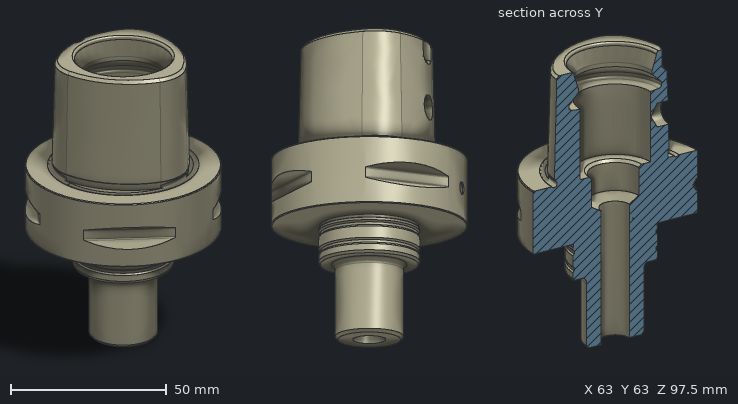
import cadquery as cq
import math

TOTAL_HEIGHT = 97.5
STUB_TOP = 24.8
FLANGE_BOTTOM = 37.4
FLANGE_TOP = 59.5
SHANK_SEAT = 61.7

STUB_RADIUS = 11.0
STUB_CHAMFER = 1.0
STUB_FILLET_WIDTH = 1.1
STUB_FILLET_HEIGHT = 2.0
PILOT_RADIUS = 32.5 / 2
PILOT_CHAMFER_WIDTH = 0.5
PILOT_CHAMFER_HEIGHT = 0.9
NECK_RADIUS = 32.0 / 2
NECK_HEIGHT = 1.0
FLANGE_RADIUS = 63.0 / 2
FLANGE_CHAMFER = 0.3

GROOVE_BOTTOMS = (27.7, 33.5)
GROOVE_HEIGHT = 2.0
GROOVE_DEPTH = 0.5
GROOVE_CHAMFER = 0.6

LOBE_COUNT = 3
TIP_RADIUS = 23.4
FLAT_RADIUS = 20.7
LOBE_OFFSET = 10.2
SHANK_TAPER_INSET = 0.9
SHANK_CHAMFER_WIDTH = 0.9
SHANK_CHAMFER_HEIGHT = 1.1
SEAT_INSET = 0.3
RELIEF_RING_RADIUS = 23.4
RELIEF_SECTION_RADIUS = 1.1
RELIEF_HEIGHT = 0.6

MOUTH_RADIUS = 16.4
MOUTH_ROUND_WIDTH = 0.7
MOUTH_ROUND_DEPTH = 1.2
MOUTH_ROUND_RADIUS = 1.2
THROAT_RADIUS = 28.0 / 2
THROAT_DEPTH = 6.3
THROAT_END_DEPTH = 7.8
CLAMP_GROOVE_TOP_DEPTH = 11.1
CLAMP_GROOVE_FLOOR_DEPTH = 13.2
CLAMP_GROOVE_RADIUS = 17.55
CLAMP_GROOVE_FILLET = 1.0
CLAMP_GROOVE_FLOOR_DROP = 0.4
CAVITY_RADIUS = 13.4
CAVITY_DEPTH = 38.0
THREAD_RADIUS = 17.8 / 2
THREAD_CHAMFER = 1.0
THREAD_DEPTH = 48.75
COOLANT_RADIUS = 10.5 / 2
CONE_DEPTH = 2.1

SLOT_COUNT = 4
SLOT_HEIGHT = 47.5
SLOT_FLOOR_DISTANCE = 27.8
SLOT_FLOOR_WIDTH = 3.4
SLOT_WALL_ANGLE = 30.0
SLOT_FILLET = 0.5

KEYWAY_RADIUS = 10.5 / 2
KEYWAY_FLOOR_X = -18.0
KEYWAY_CONE_TOP = 91.4
KEYWAY_POINT_ANGLE = 90.0
DATA_HOLE_RADIUS = 8.1 / 2
DATA_HOLE_HEIGHT = 75.1
DATA_HOLE_CYLINDER_END = 16.1
MARK_RADIUS = 4.0 / 2
MARK_HEIGHT = SLOT_HEIGHT
MARK_CYLINDER_END = 31.0
HOLE_POINT_ANGLE = 118.0


def revolve(profile):
    """Turn a profile drawn in radius and height about the Z axis."""
    return profile.close().revolve(360, (0, 0, 0), (0, 1, 0))


def turned_body():
    neck_bottom = FLANGE_BOTTOM - NECK_HEIGHT
    fillet_radius = (STUB_FILLET_WIDTH**2 + STUB_FILLET_HEIGHT**2) / (2 * STUB_FILLET_WIDTH)
    profile = (
        cq.Workplane("XZ")
        .lineTo(STUB_RADIUS - STUB_CHAMFER, 0)
        .lineTo(STUB_RADIUS, STUB_CHAMFER)
        .lineTo(STUB_RADIUS, STUB_TOP - STUB_FILLET_HEIGHT)
        .radiusArc((STUB_RADIUS + STUB_FILLET_WIDTH, STUB_TOP), fillet_radius)
        .lineTo(PILOT_RADIUS - PILOT_CHAMFER_WIDTH, STUB_TOP)
        .lineTo(PILOT_RADIUS, STUB_TOP + PILOT_CHAMFER_HEIGHT)
    )
    for bottom in GROOVE_BOTTOMS:
        top = bottom + GROOVE_HEIGHT
        profile = (
            profile.lineTo(PILOT_RADIUS, bottom)
            .lineTo(PILOT_RADIUS - GROOVE_DEPTH, bottom + GROOVE_CHAMFER)
            .lineTo(PILOT_RADIUS - GROOVE_DEPTH, top - GROOVE_CHAMFER)
            .lineTo(PILOT_RADIUS, top)
        )
    profile = (
        profile.lineTo(PILOT_RADIUS, neck_bottom)
        .lineTo(NECK_RADIUS, neck_bottom)
        .lineTo(NECK_RADIUS, FLANGE_BOTTOM)
        .lineTo(FLANGE_RADIUS - FLANGE_CHAMFER, FLANGE_BOTTOM)
        .lineTo(FLANGE_RADIUS, FLANGE_BOTTOM + FLANGE_CHAMFER)
        .lineTo(FLANGE_RADIUS, FLANGE_TOP - FLANGE_CHAMFER)
        .lineTo(FLANGE_RADIUS - FLANGE_CHAMFER, FLANGE_TOP)
        .lineTo(0, FLANGE_TOP)
    )
    return revolve(profile)


def polar(radius, angle):
    return (radius * math.cos(math.radians(angle)), radius * math.sin(math.radians(angle)))


def lobed_outline(height, inset):
    """Three lobe arcs joined by three tangent, flatter arcs, all moved inward by the inset."""
    lobe_radius = TIP_RADIUS - LOBE_OFFSET
    half_pitch = 180 / LOBE_COUNT
    gap = FLAT_RADIUS - lobe_radius
    flat_center = (gap**2 - LOBE_OFFSET**2) / (LOBE_OFFSET - 2 * gap)
    flat_center_x, flat_center_y = polar(flat_center, half_pitch)
    joint_normal = math.atan2(flat_center_y, flat_center_x + LOBE_OFFSET)
    joint_x = LOBE_OFFSET + (lobe_radius - inset) * math.cos(joint_normal)
    joint_y = (lobe_radius - inset) * math.sin(joint_normal)
    joint_distance = math.hypot(joint_x, joint_y)
    joint_angle = math.degrees(math.atan2(joint_y, joint_x))

    outline = cq.Workplane("XY", origin=(0, 0, height)).moveTo(*polar(joint_distance, -joint_angle))
    for lobe in range(LOBE_COUNT):
        tip = lobe * 2 * half_pitch
        outline = outline.threePointArc(
            polar(TIP_RADIUS - inset, tip), polar(joint_distance, tip + joint_angle)
        ).threePointArc(
            polar(FLAT_RADIUS - inset, tip + half_pitch),
            polar(joint_distance, tip + 2 * half_pitch - joint_angle),
        )
    return outline.close().val()


def lobed_frustum(bottom, bottom_inset, top, top_inset):
    """Lobed block between two heights, with straight walls from one inset to the other."""
    wires = [lobed_outline(bottom, bottom_inset), lobed_outline(top, top_inset)]
    return cq.Workplane(cq.Solid.makeLoft(wires, True))


def shank():
    chamfer_bottom = TOTAL_HEIGHT - SHANK_CHAMFER_HEIGHT
    seat = lobed_frustum(FLANGE_TOP - RELIEF_SECTION_RADIUS, SEAT_INSET, SHANK_SEAT, SEAT_INSET)
    taper = lobed_frustum(SHANK_SEAT, 0, chamfer_bottom, SHANK_TAPER_INSET)
    tip = lobed_frustum(
        chamfer_bottom, SHANK_TAPER_INSET, TOTAL_HEIGHT, SHANK_TAPER_INSET + SHANK_CHAMFER_WIDTH
    )
    return seat.union(taper).union(tip)


def relief_ring():
    """Round-section ring that undercuts the lobes and grooves the flange face around them."""
    section = cq.Workplane("XZ").center(RELIEF_RING_RADIUS, FLANGE_TOP + RELIEF_HEIGHT)
    return section.circle(RELIEF_SECTION_RADIUS).revolve(
        360, (-RELIEF_RING_RADIUS, 0, 0), (-RELIEF_RING_RADIUS, 1, 0)
    )


def bore():
    """Rounded mouth, tapered throat, clamping groove, cavity, countersunk hole and coolant hole."""
    groove_floor = TOTAL_HEIGHT - CLAMP_GROOVE_FLOOR_DEPTH
    groove_top = TOTAL_HEIGHT - CLAMP_GROOVE_TOP_DEPTH
    cavity_floor = TOTAL_HEIGHT - CAVITY_DEPTH
    thread_end = TOTAL_HEIGHT - THREAD_DEPTH
    profile = (
        cq.Workplane("XZ")
        .lineTo(COOLANT_RADIUS, 0)
        .lineTo(COOLANT_RADIUS, thread_end - CONE_DEPTH)
        .lineTo(THREAD_RADIUS, thread_end)
        .lineTo(THREAD_RADIUS, cavity_floor - THREAD_CHAMFER)
        .lineTo(THREAD_RADIUS + THREAD_CHAMFER, cavity_floor)
        .lineTo(CAVITY_RADIUS, cavity_floor)
        .lineTo(CAVITY_RADIUS, groove_floor - CLAMP_GROOVE_FLOOR_DROP)
        .lineTo(CLAMP_GROOVE_RADIUS - CLAMP_GROOVE_FILLET, groove_floor)
        .radiusArc((CLAMP_GROOVE_RADIUS, groove_floor + CLAMP_GROOVE_FILLET), -CLAMP_GROOVE_FILLET)
        .lineTo(CLAMP_GROOVE_RADIUS, groove_top)
        .lineTo(THROAT_RADIUS, TOTAL_HEIGHT - THROAT_END_DEPTH)
        .lineTo(THROAT_RADIUS, TOTAL_HEIGHT - THROAT_DEPTH)
        .lineTo(MOUTH_RADIUS - MOUTH_ROUND_WIDTH, TOTAL_HEIGHT - MOUTH_ROUND_DEPTH)
        .radiusArc((MOUTH_RADIUS, TOTAL_HEIGHT), MOUTH_ROUND_RADIUS)
        .lineTo(0, TOTAL_HEIGHT)
    )
    return revolve(profile)


def gripper_slots():
    """Flat-floored V slots across the flange, halfway between the X and Y axes."""
    cut_end = FLANGE_RADIUS + FLANGE_CHAMFER
    half_floor = SLOT_FLOOR_WIDTH / 2
    half_mouth = half_floor + (cut_end - SLOT_FLOOR_DISTANCE) * math.tan(math.radians(SLOT_WALL_ANGLE))
    slot = (
        cq.Workplane("XZ")
        .polyline([
            (SLOT_FLOOR_DISTANCE, SLOT_HEIGHT - half_floor),
            (cut_end, SLOT_HEIGHT - half_mouth),
            (cut_end, SLOT_HEIGHT + half_mouth),
            (SLOT_FLOOR_DISTANCE, SLOT_HEIGHT + half_floor),
        ])
        .close()
        .extrude(FLANGE_RADIUS, both=True)
        .edges("|Y and <X")
        .fillet(SLOT_FILLET)
    )
    slots = cq.Workplane("XY")
    pitch = 360 / SLOT_COUNT
    for index in range(SLOT_COUNT):
        slots = slots.add(slot.rotate((0, 0, 0), (0, 0, 1), pitch * (index + 0.5)))
    return slots.combine()


def drill(radius, length, point_angle):
    """Pointed drill on the Z axis, pointing down, with its cylinder starting at the origin."""
    point_depth = radius / math.tan(math.radians(point_angle / 2))
    return revolve(
        cq.Workplane("XZ")
        .moveTo(0, -point_depth)
        .lineTo(radius, 0)
        .lineTo(radius, length)
        .lineTo(0, length)
    )


def keyway():
    """Pointed notch drilled down from the shank's end face, partly outside its flat side."""
    return drill(KEYWAY_RADIUS, TOTAL_HEIGHT - KEYWAY_CONE_TOP, KEYWAY_POINT_ANGLE).translate(
        (KEYWAY_FLOOR_X - KEYWAY_RADIUS, 0, KEYWAY_CONE_TOP)
    )


def side_hole(radius, height, cylinder_end):
    """Blind hole entering from -X, with its cone starting at the given distance from the axis."""
    tool = drill(radius, FLANGE_RADIUS, HOLE_POINT_ANGLE).rotate((0, 0, 0), (0, 1, 0), -90)
    return tool.translate((-cylinder_end, 0, height))


result = (
    turned_body()
    .union(shank())
    .cut(relief_ring())
    .cut(bore())
    .cut(gripper_slots())
    .cut(keyway())
    .cut(side_hole(DATA_HOLE_RADIUS, DATA_HOLE_HEIGHT, DATA_HOLE_CYLINDER_END))
    .cut(side_hole(MARK_RADIUS, MARK_HEIGHT, MARK_CYLINDER_END))
)